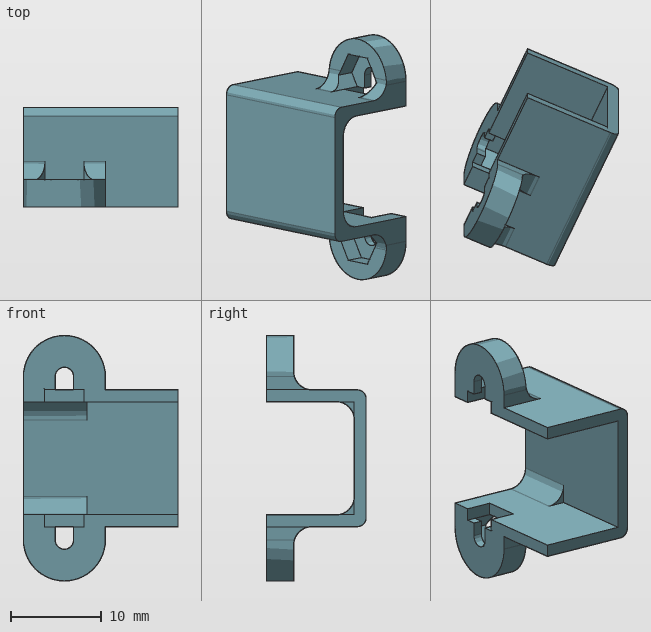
import cadquery as cq

length = 17.0
depth = 11.0
channel_height = 15.07
wall = 1.32
outer_corner_radius = 1.0
inner_corner_radius = 2.0
inner_corner_length = 7.02

total_height = 27.0
ear_radius = 4.5
ear_thickness = 3.02
web_radius = 2.0
slot_radius = 1.0
nut_corner_diameter = 5.97
recess_floor = 1.0
notch_width = 4.32

outer_z = channel_height / 2
inner_z = outer_z - wall
ear_z = total_height / 2 - ear_radius
inner_back = depth - wall


def box(x, y, z, size_x, size_y, size_z):
    """Box placed by its minimum corner."""
    return cq.Workplane("XY").box(size_x, size_y, size_z, centered=False).translate((x, y, z))


def cylinder_y(radius, z, start_y, end_y):
    """Cylinder along Y on the ear's centre line."""
    return cq.Workplane("XZ", origin=(ear_radius, start_y, z)).circle(radius).extrude(start_y - end_y)


def corner_web(y, z, direction_y, direction_z, radius, web_length):
    """Concave corner fill along X, growing from the corner in the given directions."""
    diagonal = radius * (1 - 0.5 ** 0.5)
    return (
        cq.Workplane("YZ")
        .moveTo(y, z)
        .lineTo(y + direction_y * radius, z)
        .threePointArc(
            (y + direction_y * diagonal, z + direction_z * diagonal),
            (y, z + direction_z * radius),
        )
        .close()
        .extrude(web_length)
    )


def make_channel_space():
    return box(0, 0, -inner_z, length, inner_back, 2 * inner_z)


def make_channel():
    body = box(0, 0, -outer_z, length, depth, channel_height)
    body = body.edges("|X and >Y").fillet(outer_corner_radius)
    return body.cut(make_channel_space())


def make_upper_ear():
    """Ear, its web and the inner corner fill on the +Z side."""
    ear = box(0, 0, inner_z, 2 * ear_radius, ear_thickness, ear_z - inner_z)
    ear = ear.union(cylinder_y(ear_radius, ear_z, 0, ear_thickness)).cut(make_channel_space())
    web = corner_web(ear_thickness, outer_z, 1, 1, web_radius, 2 * ear_radius)
    inner_fill = corner_web(inner_back, inner_z, -1, -1, inner_corner_radius, inner_corner_length)
    return ear.union(web).union(inner_fill)


def make_upper_cutout():
    """Notch through the channel wall, screw slot and nut recess on the +Z side."""
    notch = box(ear_radius - notch_width / 2, 0, inner_z, notch_width, ear_thickness, wall)
    slot = box(ear_radius - slot_radius, 0, inner_z, 2 * slot_radius, ear_thickness, ear_z - inner_z)
    slot = slot.union(cylinder_y(slot_radius, ear_z, 0, ear_thickness))
    recess = (
        cq.Workplane("XZ", origin=(ear_radius, recess_floor, ear_z))
        .polygon(6, nut_corner_diameter)
        .extrude(-(ear_thickness + web_radius - recess_floor))
    )
    above_wall = box(0, 0, outer_z, length, depth, total_height)
    return notch.union(slot).union(recess.intersect(above_wall))


upper_ear = make_upper_ear()
upper_cutout = make_upper_cutout()
result = make_channel().union(upper_ear).union(upper_ear.mirror("XY"))
result = result.cut(upper_cutout).cut(upper_cutout.mirror("XY"))